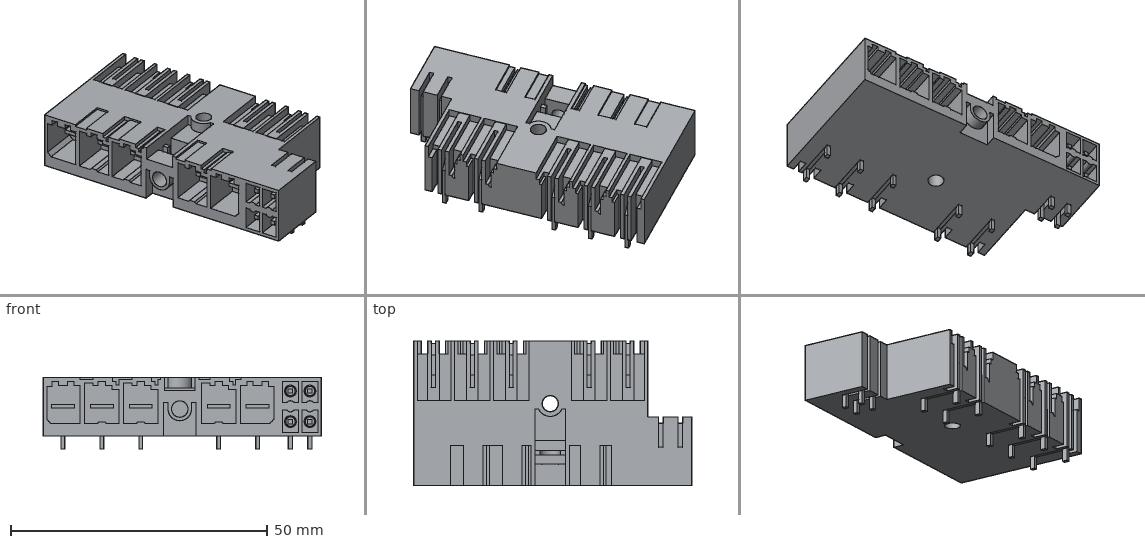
import cadquery as cq

LENGTH = 54.3
DEPTH = 28.3
TAIL_LENGTH = 2.55
HEIGHT = 14.0 - TAIL_LENGTH
POWER_LENGTH = 45.75
SIGNAL_DEPTH = 13.4

POWER_PITCH = 7.6
FIRST_POWER_X = 3.85
POWER_SLOTS = (0, 1, 2, 4, 5)
POWER_X = [FIRST_POWER_X + slot * POWER_PITCH for slot in POWER_SLOTS]
INNER_POWER_X = POWER_X[1:-1]
MOUNT_X = FIRST_POWER_X + 3 * POWER_PITCH
OUTER_WALL = 0.7
END_HALF_WIDTH = FIRST_POWER_X - OUTER_WALL

CAVITY_DEPTH = 7.9
CAVITY_HALF_WIDTH = 3.35
CAVITY_FLOOR = 2.45
CAVITY_ROOF = 9.85
KEYWAY_ROOF = 10.7
END_SHOULDER = 9.65
END_CHAMFER = 0.8
HIGH_SHOULDER = 10.3
LOW_SHOULDER = 9.1
FLOOR_RIDGE_HALF = 0.85
FLOOR_RIDGE_HEIGHT = 0.3

GROOVE_SHALLOW = 0.4
GROOVE_STEP = 0.75
GROOVE_DEEP = 1.45
GROOVE_LEFT = 2.05
GROOVE_STEP_X = 2.75
GROOVE_RIGHT = 3.3
GROOVE_TO_NEXT = 1.75
LAST_GROOVE_TO_CAVITY = 3.2
MOUNT_WALL_HALF = 3.8

POCKET_FRONT = 16.6
POCKET_DEPTH = 1.6
POCKET_FLOOR = HEIGHT - POCKET_DEPTH
POCKET_HALF_WIDTH = 3.5
RIB_HALF_WIDTH = 1.15
RIB_TOP = HEIGHT - 0.1
NOTCH_LENGTH = 2.55
NOTCH_HALF_WIDTH = 2.35
NOTCH_TOP_HALF_WIDTH = 2.8
NOTCH_TOP_DEPTH = 1.1
SHELF_TOP = 5.45
SHELF_HOLLOW_RADIUS = 0.55

BLADE_WIDTH = 4.45
BLADE_THICKNESS = 0.75
BLADE_BOTTOM = 5.45
BLADE_TOP = BLADE_BOTTOM + BLADE_THICKNESS
BLADE_TIP = 4.9
SHEET_THICKNESS = 0.75
SHEET_FRONT = 19.15
SHEET_STEP = 21.6
SHEET_TOP = 8.15
SHEET_CHAMFER_FRONT = 25.45
SHEET_BACK = DEPTH - 0.5
FRONT_TAIL_LENGTH = 0.9
REAR_TAIL_LENGTH = 1.1

SIGNAL_X = (48.3, 52.1)
SIGNAL_WIDTH = 3.15
SIGNAL_CAVITY_DEPTH = 6.5
BUMP_HALF_WIDTH = 0.7
BUMP_HEIGHT = 0.4
UPPER_TAIL_Y = 11.8
LOWER_TAIL_Y = 8.0
UPPER_ROW = (8.8, 6.5, 10.7, UPPER_TAIL_Y)
LOWER_ROW = (2.8, 0.7, 5.1, LOWER_TAIL_Y)
SIGNAL_ROWS = (UPPER_ROW, LOWER_ROW)
PIN_SIZE = 0.85
PIN_TIP = 1.3
COLLAR_RADIUS = 1.15
COLLAR_TIP_RADIUS = 0.9
COLLAR_LENGTH = 0.55

CHANNEL_HALF_WIDTH = 3.0
CHANNEL_BACK = 14.95
FRONT_DECK = 8.9
REAR_DECK = 9.35
NUT_FRONT = 4.25
NUT_BACK = 8.8
NUT_FLOOR = 3.0
FORK_FRONT = 6.0
FORK_BACK = 6.9
FORK_RADIUS = 1.95
SCREW_Z = 5.25
SCREW_DIAMETER = 3.2
NOSE_RADIUS = 2.3
RECESS_HALF_WIDTH = 3.15
RECESS_TOP = 6.5
RECESS_DEPTH = 2.35
HOLE_Y = 16.0
HOLE_DIAMETER = 3.1
HOLE_BOSS_RADIUS = 2.5


def block(x0, x1, y0, y1, z0, z1):
    """Box between the given limits."""
    return cq.Workplane("XY").box(x1 - x0, y1 - y0, z1 - z0, centered=False).translate((x0, y0, z0))


def along_y(origin_y=0):
    """Plane with X right and Z up; a negative extrusion runs toward +Y."""
    return cq.Workplane("XZ", origin=(0, origin_y, 0))


def end_cavity(x, side):
    """Cavity beside an outer wall; side is -1 for the -X end and +1 for the +X end."""
    keyway_outer, keyway_inner = 2.1, 0.85
    profile = [
        (-CAVITY_HALF_WIDTH, CAVITY_FLOOR),
        (END_HALF_WIDTH - END_CHAMFER, CAVITY_FLOOR),
        (END_HALF_WIDTH, CAVITY_FLOOR + END_CHAMFER),
        (END_HALF_WIDTH, END_SHOULDER),
        (keyway_outer, END_SHOULDER),
        (keyway_outer, KEYWAY_ROOF),
        (keyway_inner, KEYWAY_ROOF),
        (keyway_inner, CAVITY_ROOF),
        (-keyway_inner, CAVITY_ROOF),
        (-keyway_inner, KEYWAY_ROOF),
        (-keyway_outer, KEYWAY_ROOF),
        (-keyway_outer, CAVITY_ROOF),
        (-CAVITY_HALF_WIDTH, CAVITY_ROOF),
    ]
    points = [(x + side * u, z) for u, z in profile]
    return along_y().polyline(points).close().extrude(-CAVITY_DEPTH)


def inner_cavity(x):
    """Cavity between two others, with a central keyway, stepped shoulders and a floor ridge."""
    keyway, high_step, low_step = 0.7, -1.75, 1.95
    ridge_top_half = FLOOR_RIDGE_HALF - FLOOR_RIDGE_HEIGHT
    ridge_top = CAVITY_FLOOR + FLOOR_RIDGE_HEIGHT
    profile = [
        (-CAVITY_HALF_WIDTH, CAVITY_FLOOR),
        (-FLOOR_RIDGE_HALF, CAVITY_FLOOR),
        (-ridge_top_half, ridge_top),
        (ridge_top_half, ridge_top),
        (FLOOR_RIDGE_HALF, CAVITY_FLOOR),
        (CAVITY_HALF_WIDTH, CAVITY_FLOOR),
        (CAVITY_HALF_WIDTH, LOW_SHOULDER),
        (low_step, LOW_SHOULDER),
        (low_step, CAVITY_ROOF),
        (keyway, CAVITY_ROOF),
        (keyway, KEYWAY_ROOF),
        (-keyway, KEYWAY_ROOF),
        (-keyway, CAVITY_ROOF),
        (high_step, CAVITY_ROOF),
        (high_step, HIGH_SHOULDER),
        (-CAVITY_HALF_WIDTH, HIGH_SHOULDER),
    ]
    points = [(x + u, z) for u, z in profile]
    return along_y().polyline(points).close().extrude(-CAVITY_DEPTH)


def shallow_groove(x0, x1):
    return block(x0, x1, 0, CAVITY_DEPTH, HEIGHT - GROOVE_SHALLOW, HEIGHT)


def stepped_groove(x, x_end):
    """Groove beside an inner cavity: a step, a deep part and a shallow part up to x_end."""
    step = block(x + GROOVE_LEFT, x + GROOVE_RIGHT, 0, CAVITY_DEPTH, HEIGHT - GROOVE_STEP, HEIGHT)
    deep = block(x + GROOVE_STEP_X, x + GROOVE_RIGHT, 0, CAVITY_DEPTH, HEIGHT - GROOVE_DEEP, HEIGHT)
    return step.union(deep).union(shallow_groove(x + GROOVE_RIGHT, x_end))


def rear_pocket(x, left, right, notch_left, notch_right, has_shelf):
    """Pocket on both sides of a rib, with a notch through its floor at the back."""
    notch_front = DEPTH - NOTCH_LENGTH
    pocket = block(left, right, POCKET_FRONT, DEPTH, POCKET_FLOOR, HEIGHT)
    notch_top = block(notch_left, notch_right, notch_front, DEPTH,
                      POCKET_FLOOR - NOTCH_TOP_DEPTH, POCKET_FLOOR)
    notch = block(x - NOTCH_HALF_WIDTH, x + NOTCH_HALF_WIDTH, notch_front, DEPTH, 0, POCKET_FLOOR)
    rib = block(x - RIB_HALF_WIDTH, x + RIB_HALF_WIDTH, POCKET_FRONT, DEPTH, 0, RIB_TOP)
    space = pocket.union(notch_top).union(notch).cut(rib)
    if has_shelf:
        space = space.cut(notch_shelf(x))
    return space


def notch_shelf(x):
    """Shelf that closes the -X side of a rear notch; the corner away from the rib is hollowed."""
    left = x - NOTCH_HALF_WIDTH
    right = x - RIB_HALF_WIDTH
    low = SHELF_TOP - SHELF_HOLLOW_RADIUS
    return (
        along_y(DEPTH - NOTCH_LENGTH)
        .moveTo(left, 0)
        .lineTo(left, low)
        .radiusArc((left + SHELF_HOLLOW_RADIUS, SHELF_TOP), -SHELF_HOLLOW_RADIUS)
        .lineTo(right, SHELF_TOP)
        .lineTo(right, 0)
        .close()
        .extrude(-NOTCH_LENGTH)
    )


def sheet_slot(x):
    """Slot through the rib and the bottom that takes the upright sheet of a power contact."""
    half = SHEET_THICKNESS / 2
    return block(x - half, x + half, SHEET_FRONT, DEPTH, 0, HEIGHT)


def signal_cavity(x, row):
    """Cavity for one signal pin, with an arched rib on the wall between the two rows."""
    pin_z, bottom, top, _ = row
    half = SIGNAL_WIDTH / 2
    cavity = block(x - half, x + half, 0, SIGNAL_CAVITY_DEPTH, bottom, top)
    if row is UPPER_ROW:
        base, crest = bottom, bottom + BUMP_HEIGHT
    else:
        base, crest = top, top - BUMP_HEIGHT
    bump = (
        along_y()
        .moveTo(x - BUMP_HALF_WIDTH, base)
        .threePointArc((x, crest), (x + BUMP_HALF_WIDTH, base))
        .close()
        .extrude(-SIGNAL_CAVITY_DEPTH)
    )
    collar = (
        along_y(SIGNAL_CAVITY_DEPTH)
        .center(x, pin_z)
        .circle(COLLAR_RADIUS)
        .workplane(offset=COLLAR_LENGTH)
        .circle(COLLAR_TIP_RADIUS)
        .loft()
    )
    return cavity.cut(bump).cut(collar)


def signal_slot(x):
    """Slot, open at the back and the bottom, that takes the tails of both rows."""
    half = PIN_SIZE / 2
    return block(x - half, x + half, LOWER_TAIL_Y - half, SIGNAL_DEPTH, 0, HEIGHT)


def mount_channel():
    """Channel in the top face: two decks, a nut slot with a fork, and a round boss at the back."""
    left = MOUNT_X - CHANNEL_HALF_WIDTH
    right = MOUNT_X + CHANNEL_HALF_WIDTH
    front = block(left, right, 0, NUT_FRONT, FRONT_DECK, HEIGHT)
    nut = block(left, right, NUT_FRONT, NUT_BACK, NUT_FLOOR, HEIGHT)
    rear = block(left, right, NUT_BACK, CHANNEL_BACK, REAR_DECK, HEIGHT)
    fork = block(left, right, FORK_FRONT, FORK_BACK, NUT_FLOOR, FRONT_DECK)
    fork = fork.cut(u_shape(FORK_RADIUS, FRONT_DECK, FORK_FRONT, FORK_BACK))
    boss = (
        cq.Workplane("XY", origin=(MOUNT_X, HOLE_Y, REAR_DECK))
        .circle(HOLE_BOSS_RADIUS)
        .extrude(HEIGHT - REAR_DECK)
    )
    return front.union(nut).union(rear).cut(fork).cut(boss)


def u_shape(radius, top, y0, y1):
    """Upright U, rounded below around the screw axis."""
    return (
        along_y(y0)
        .moveTo(MOUNT_X - radius, top)
        .lineTo(MOUNT_X - radius, SCREW_Z)
        .threePointArc((MOUNT_X, SCREW_Z - radius), (MOUNT_X + radius, SCREW_Z))
        .lineTo(MOUNT_X + radius, top)
        .close()
        .extrude(y0 - y1)
    )


def mount_recess():
    """Recess in the lower front that leaves a rounded nose around the screw hole."""
    left = MOUNT_X - RECESS_HALF_WIDTH
    right = MOUNT_X + RECESS_HALF_WIDTH
    recess = block(left, right, 0, RECESS_DEPTH, 0, RECESS_TOP)
    return recess.cut(u_shape(NOSE_RADIUS, RECESS_TOP, 0, RECESS_DEPTH))


def screw_hole():
    return along_y().center(MOUNT_X, SCREW_Z).circle(SCREW_DIAMETER / 2).extrude(-NUT_FRONT)


def mounting_hole():
    return cq.Workplane("XY").center(MOUNT_X, HOLE_Y).circle(HOLE_DIAMETER / 2).extrude(HEIGHT)


def power_contact(x):
    """Flat blade, upright sheet behind it and two solder tails, in one piece."""
    half = SHEET_THICKNESS / 2
    blade = block(x - BLADE_WIDTH / 2, x + BLADE_WIDTH / 2, BLADE_TIP, SHEET_FRONT, BLADE_BOTTOM, BLADE_TOP)
    front_tail_back = SHEET_FRONT + FRONT_TAIL_LENGTH
    rear_tail_front = SHEET_BACK - REAR_TAIL_LENGTH
    back_top = SHEET_TOP - (SHEET_BACK - SHEET_CHAMFER_FRONT)
    outline = [
        (SHEET_FRONT, BLADE_TOP),
        (SHEET_STEP, BLADE_TOP),
        (SHEET_STEP, SHEET_TOP),
        (SHEET_CHAMFER_FRONT, SHEET_TOP),
        (SHEET_BACK, back_top),
        (SHEET_BACK, -TAIL_LENGTH),
        (rear_tail_front, -TAIL_LENGTH),
        (rear_tail_front, 0),
        (front_tail_back, 0),
        (front_tail_back, -TAIL_LENGTH),
        (SHEET_FRONT, -TAIL_LENGTH),
    ]
    sheet = cq.Workplane("YZ", origin=(x - half, 0, 0)).polyline(outline).close().extrude(SHEET_THICKNESS)
    return blade.union(sheet)


def signal_pin(x, row):
    """Square pin bent down at a right angle into its solder tail."""
    pin_z, _, _, tail_y = row
    half = PIN_SIZE / 2
    pin = block(x - half, x + half, PIN_TIP, tail_y + half, pin_z - half, pin_z + half)
    tail = block(x - half, x + half, tail_y - half, tail_y + half, -TAIL_LENGTH, pin_z + half)
    return pin.union(tail)


power_contacts = [power_contact(x) for x in POWER_X]
signal_pins = [signal_pin(x, row) for x in SIGNAL_X for row in SIGNAL_ROWS]

housing = block(0, POWER_LENGTH, 0, DEPTH, 0, HEIGHT)
housing = housing.union(block(0, LENGTH, 0, SIGNAL_DEPTH, 0, HEIGHT))

housing = housing.cut(end_cavity(POWER_X[0], -1)).cut(end_cavity(POWER_X[-1], 1))
for x in INNER_POWER_X:
    housing = housing.cut(inner_cavity(x))

housing = housing.cut(shallow_groove(POWER_X[0] + GROOVE_RIGHT, POWER_X[1] - GROOVE_TO_NEXT))
housing = housing.cut(stepped_groove(POWER_X[1], POWER_X[2] - GROOVE_TO_NEXT))
housing = housing.cut(stepped_groove(POWER_X[2], MOUNT_X - MOUNT_WALL_HALF))
housing = housing.cut(shallow_groove(MOUNT_X + MOUNT_WALL_HALF, POWER_X[3] - GROOVE_TO_NEXT))
housing = housing.cut(stepped_groove(POWER_X[3], POWER_X[4] - LAST_GROOVE_TO_CAVITY))

for x in POWER_X:
    pocket_left = x - POCKET_HALF_WIDTH
    pocket_right = x + POCKET_HALF_WIDTH
    notch_left = x - NOTCH_TOP_HALF_WIDTH
    notch_right = x + NOTCH_TOP_HALF_WIDTH
    if x == POWER_X[0]:
        pocket_left = notch_left = OUTER_WALL
    if x == POWER_X[-1]:
        pocket_right = notch_right = POWER_LENGTH - OUTER_WALL
    has_shelf = x != POWER_X[0]
    housing = housing.cut(rear_pocket(x, pocket_left, pocket_right, notch_left, notch_right, has_shelf))
    housing = housing.cut(sheet_slot(x))

for x in SIGNAL_X:
    for row in SIGNAL_ROWS:
        housing = housing.cut(signal_cavity(x, row))
    housing = housing.cut(signal_slot(x))

housing = housing.cut(mount_channel()).cut(mount_recess()).cut(screw_hole()).cut(mounting_hole())

for contact in power_contacts + signal_pins:
    housing = housing.cut(contact)

result = cq.Compound.makeCompound(
    [
        housing.solids().val(),
        *[contact.solids().val() for contact in power_contacts],
        *[pin.solids().val() for pin in signal_pins],
    ]
)